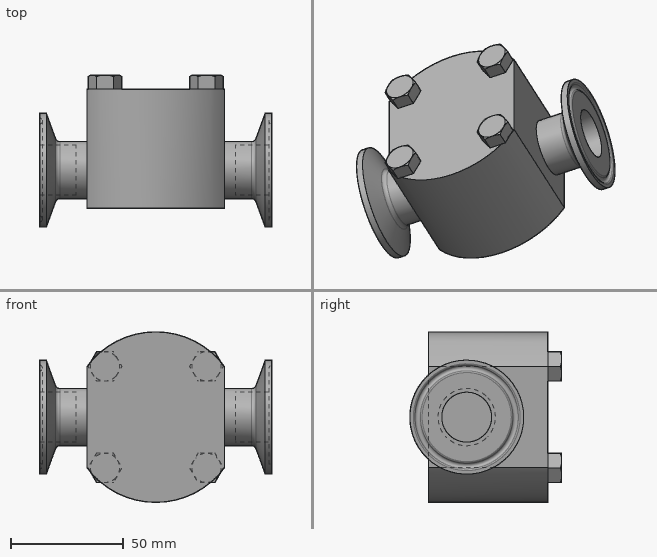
import cadquery as cq
import math

overall_length = 102.9

body_diameter = 75.6
body_width = 61.0
body_depth = 33.9
cover_depth = 18.9

bolt_spacing = 45.0
head_flats = 13.0
head_corners = head_flats / math.cos(math.radians(30))
head_height = 6.2
head_chamfer_angle = 30

flange_diameter = 50.5
rim_thickness = 3.0
cone_angle = 20
tube_diameter = 25.4
neck_fillet = 2.1
bore_diameter = 22.1
bore_depth = 16.2

groove_radius = 21.7
groove_half_width = 2.0
groove_floor_radius = 1.3
groove_lip_radius = 0.8

body_front = -body_depth / 2
cover_back = body_depth / 2 + cover_depth


def flatted_block():
    """Round body and cover, cut by a flat on each port side."""
    length = cover_back - body_front
    cylinder = cq.Workplane("XZ", origin=(0, cover_back, 0)).circle(body_diameter / 2).extrude(length)
    between_flats = cq.Workplane("XY").box(body_width, 2 * cover_back, body_diameter)
    return cylinder.intersect(between_flats)


def bolt_head(x, z):
    """Hexagon head with corners along X and its outer corners turned down."""
    plane = cq.Workplane("XZ", origin=(x, cover_back, z))
    hexagon = plane.polygon(6, head_corners).extrude(-head_height)
    corner_radius = head_corners / 2
    face_radius = head_flats / 2
    drop = (corner_radius - face_radius) * math.tan(math.radians(head_chamfer_angle))
    turned = (
        plane.circle(corner_radius)
        .extrude(-head_height)
        .faces(">Y")
        .chamfer(drop, corner_radius - face_radius)
    )
    return hexagon.intersect(turned)


def gasket_groove():
    """Ring whose section is a round floor blending into two rounded lips."""
    lip_to_floor = groove_lip_radius + groove_floor_radius
    floor_height = math.sqrt(lip_to_floor**2 - groove_half_width**2) - groove_lip_radius
    blend = groove_lip_radius / lip_to_floor
    blend_offset = groove_half_width * (1 - blend)
    blend_depth = groove_lip_radius - blend * (floor_height + groove_lip_radius)
    lip_turn = math.asin(groove_half_width / lip_to_floor) / 2
    lip_offset = groove_half_width - groove_lip_radius * math.sin(lip_turn)
    lip_depth = groove_lip_radius * (1 - math.cos(lip_turn))
    floor_depth = groove_floor_radius - floor_height
    return (
        cq.Workplane("XY")
        .moveTo(0, groove_radius - groove_half_width)
        .threePointArc((lip_depth, groove_radius - lip_offset), (blend_depth, groove_radius - blend_offset))
        .threePointArc((floor_depth, groove_radius), (blend_depth, groove_radius + blend_offset))
        .threePointArc((lip_depth, groove_radius + lip_offset), (0, groove_radius + groove_half_width))
        .close()
        .revolve(360, (0, 0, 0), (1, 0, 0))
    )


def left_port():
    """Clamp ferrule with its tube, reaching the body flat on the -X side."""
    flange_radius = flange_diameter / 2
    tube_radius = tube_diameter / 2
    port_length = (overall_length - body_width) / 2
    angle = math.radians(cone_angle)
    fillet_turn = math.pi / 2 - angle
    cone_end_radius = tube_radius + neck_fillet * (1 - math.cos(fillet_turn))
    cone_end = rim_thickness + (flange_radius - cone_end_radius) * math.tan(angle)
    fillet_end = cone_end + neck_fillet * math.sin(fillet_turn)
    fillet_middle = (
        fillet_end - neck_fillet * math.sin(fillet_turn / 2),
        tube_radius + neck_fillet * (1 - math.cos(fillet_turn / 2)),
    )
    port = (
        cq.Workplane("XY")
        .moveTo(0, 0)
        .lineTo(0, flange_radius)
        .lineTo(rim_thickness, flange_radius)
        .lineTo(cone_end, cone_end_radius)
        .threePointArc(fillet_middle, (fillet_end, tube_radius))
        .lineTo(port_length, tube_radius)
        .lineTo(port_length, 0)
        .close()
        .revolve(360, (0, 0, 0), (1, 0, 0))
    )
    bore = cq.Workplane("YZ").circle(bore_diameter / 2).extrude(bore_depth)
    return port.cut(bore).cut(gasket_groove()).translate((-overall_length / 2, 0, 0))


port = left_port()
result = flatted_block().union(port).union(port.mirror("YZ"))
for bolt_x in (-bolt_spacing / 2, bolt_spacing / 2):
    for bolt_z in (-bolt_spacing / 2, bolt_spacing / 2):
        result = result.union(bolt_head(bolt_x, bolt_z))